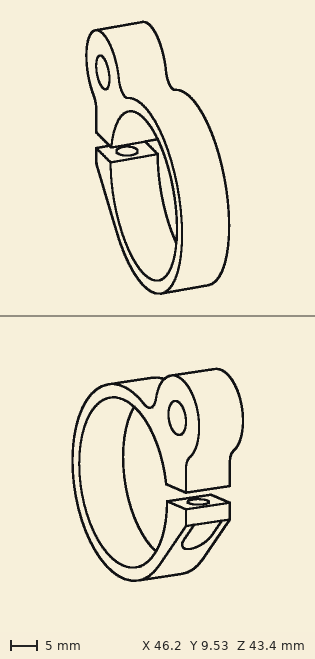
import cadquery as cq
import math

width = 9.53
ring_outer_radius = 18.5
ring_inner_radius = 16.0
eye_radius = 8.0
eye_hole_radius = 3.2
eye_x = -19.75
eye_z = 16.9
fillet_radius = 3.0
gap = 3.2
screw_setback = 3.5
screw_radius = 2.0
head_radius = 3.0

lug_x = eye_x - eye_hole_radius
tangent_offset = ring_outer_radius / math.sqrt(2)
slope_top_z = -(2 * tangent_offset + lug_x)
screw_x = lug_x + screw_setback


def point_toward(start, end, distance):
    """Point at a given distance from start on the way to end."""
    length = math.dist(start, end)
    return tuple(a + (b - a) * distance / length for a, b in zip(start, end))


def arc_middle(center, start, end, radius):
    """Middle of the shorter arc between two points on a circle."""
    chord_middle = tuple((a + b) / 2 for a, b in zip(start, end))
    return point_toward(center, chord_middle, radius)


def cylinder_along_y(x, z, radius):
    circle = cq.Workplane("XZ").center(x, z).circle(radius)
    return circle.extrude(width / 2, both=True)


def make_outline():
    """Outer outline of ring, eye and lugs, before the openings are cut."""
    ring = (0, 0)
    eye = (eye_x, eye_z)
    reach = eye_radius + fillet_radius

    face_fillet_x = lug_x - fillet_radius
    face_fillet_drop = math.sqrt(reach**2 - (face_fillet_x - eye_x) ** 2)
    face_fillet = (face_fillet_x, eye_z - face_fillet_drop)
    face_start = (lug_x, face_fillet[1])
    eye_lower = point_toward(eye, face_fillet, eye_radius)

    spacing = math.dist(ring, eye)
    ring_reach = ring_outer_radius + fillet_radius
    along = (ring_reach**2 - reach**2 + spacing**2) / (2 * spacing)
    across = math.sqrt(ring_reach**2 - along**2)
    unit_x = eye_x / spacing
    unit_z = eye_z / spacing
    neck = (along * unit_x + across * unit_z, along * unit_z - across * unit_x)
    eye_upper = point_toward(eye, neck, eye_radius)
    ring_upper = point_toward(ring, neck, ring_outer_radius)

    eye_far = point_toward(eye, ring, -eye_radius)
    ring_far = point_toward(ring, eye, -ring_outer_radius)
    face_middle = arc_middle(face_fillet, face_start, eye_lower, fillet_radius)
    neck_middle = arc_middle(neck, eye_upper, ring_upper, fillet_radius)

    return (
        cq.Workplane("XZ")
        .moveTo(lug_x, slope_top_z)
        .lineTo(*face_start)
        .threePointArc(face_middle, eye_lower)
        .threePointArc(eye_far, eye_upper)
        .threePointArc(neck_middle, ring_upper)
        .threePointArc(ring_far, (-tangent_offset, -tangent_offset))
        .close()
    )


def make_gap():
    """Slit between the lugs, with its lower face level with the ring axis."""
    start = cq.Workplane("XY", origin=(lug_x, 0, 0))
    return start.box(-lug_x, width, gap, centered=(False, True, False))


def make_screw_hole():
    """Clearance hole through the lower lug and a head seat open to the lug face."""
    depth = ring_outer_radius
    shank = cq.Workplane("XY").center(screw_x, 0).circle(screw_radius).extrude(-depth)
    seat = cq.Workplane("XY", origin=(0, 0, slope_top_z))
    seat_round = seat.center(screw_x, 0).circle(head_radius).extrude(-depth)
    opening = seat.center(lug_x + screw_setback / 2, 0)
    seat_opening = opening.rect(screw_setback, 2 * head_radius).extrude(-depth)
    return shank.union(seat_round).union(seat_opening)


body = make_outline().extrude(width / 2, both=True)
body = body.cut(cylinder_along_y(0, 0, ring_inner_radius))
body = body.cut(cylinder_along_y(eye_x, eye_z, eye_hole_radius))
body = body.cut(make_gap())
result = body.cut(make_screw_hole())